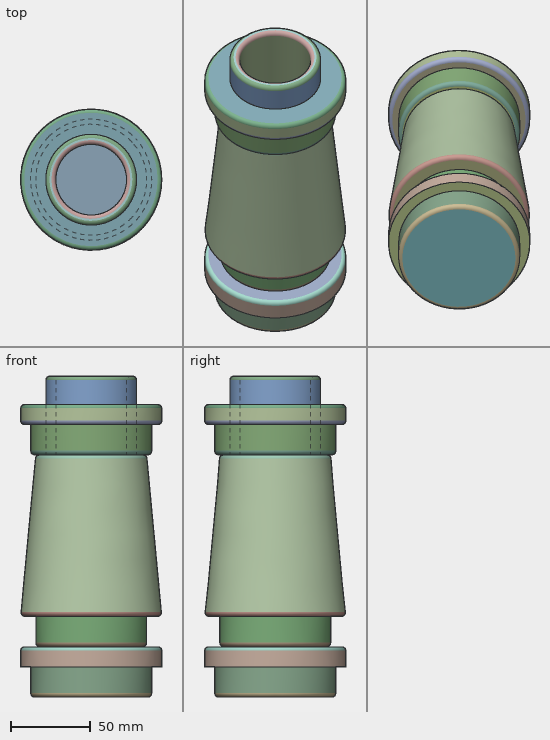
import cadquery as cq

FLANGE_DIAMETER = 88.9
SHOULDER_DIAMETER = 76.2
NECK_DIAMETER = 69.85
TUBE_DIAMETER = 57.15
TUBE_BORE_DIAMETER = 44.45

SHOULDER_LENGTH = 19.05
FLANGE_THICKNESS = 12.7
NECK_LENGTH = 19.05
CONE_LENGTH = 101.6
TUBE_PROTRUSION = 17.78

EDGE_RADIUS = 2.54

BASE_TOP = SHOULDER_LENGTH + FLANGE_THICKNESS
NECK_TOP = BASE_TOP + NECK_LENGTH
SLEEVE_TOP = NECK_TOP + CONE_LENGTH
COLLAR_LENGTH = SHOULDER_LENGTH + FLANGE_THICKNESS
TUBE_LENGTH = COLLAR_LENGTH + TUBE_PROTRUSION


def disc(diameter, bottom, height):
    """Cylinder on the Z axis, standing on the given level."""
    return cq.Workplane("XY").workplane(offset=bottom).circle(diameter / 2).extrude(height)


def rounded(body, face_selector):
    """Round every edge of the selected end faces."""
    return body.faces(face_selector).edges().fillet(EDGE_RADIUS)


def make_base():
    """Solid foot carrying a wider flange; the flange underside keeps a sharp edge."""
    foot = rounded(disc(SHOULDER_DIAMETER, 0, SHOULDER_LENGTH), "<Z")
    flange = rounded(disc(FLANGE_DIAMETER, SHOULDER_LENGTH, FLANGE_THICKNESS), ">Z")
    return foot.union(flange)


def make_sleeve():
    """Solid neck below a cone that narrows upward to the neck diameter."""
    neck = rounded(disc(NECK_DIAMETER, BASE_TOP, NECK_LENGTH), "<Z")
    cone = (
        cq.Workplane("XY")
        .workplane(offset=NECK_TOP)
        .circle(FLANGE_DIAMETER / 2)
        .workplane(offset=CONE_LENGTH)
        .circle(NECK_DIAMETER / 2)
        .loft()
    )
    return neck.union(rounded(cone, "|Z"))


def make_collar():
    """Shoulder topped by a flange rounded on both rims, bored through for the tube."""
    shoulder = rounded(disc(SHOULDER_DIAMETER, SLEEVE_TOP, SHOULDER_LENGTH), "<Z")
    flange = rounded(disc(FLANGE_DIAMETER, SLEEVE_TOP + SHOULDER_LENGTH, FLANGE_THICKNESS), "|Z")
    tube_hole = disc(TUBE_DIAMETER, SLEEVE_TOP, COLLAR_LENGTH)
    return shoulder.union(flange).cut(tube_hole)


def make_tube():
    """Open tube standing on the sleeve, with both rims of its top end rounded."""
    bore = disc(TUBE_BORE_DIAMETER, SLEEVE_TOP, TUBE_LENGTH)
    return rounded(disc(TUBE_DIAMETER, SLEEVE_TOP, TUBE_LENGTH).cut(bore), ">Z")


base = make_base()
sleeve = make_sleeve()
collar = make_collar()
tube = make_tube()

result = cq.Compound.makeCompound(
    [body.solids().val() for body in (base, sleeve, collar, tube)]
)